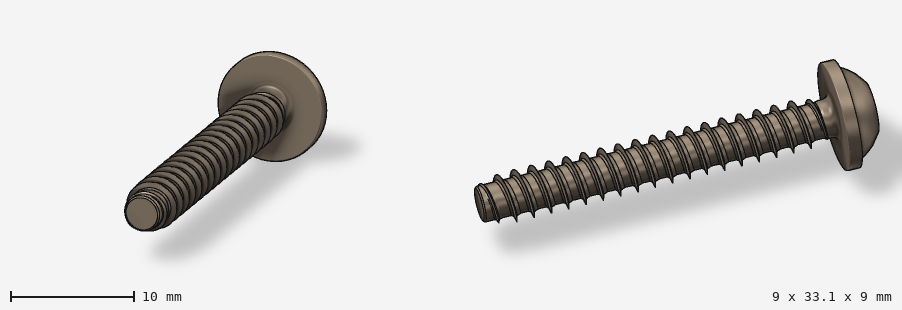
import cadquery as cq
import math


overall_length = 33.1
collar_radius = 4.5
collar_height = 1.05
collar_edge_round = 0.1
dome_height = 2.12
dome_base_radius = 3.97
dome_mid_radius = 3.35
dome_top_radius = 2.15
head_height = collar_height + dome_height

shank_length = overall_length - head_height
core_radius = 1.5
neck_radius = 1.6
neck_fillet = 0.55
neck_length = 0.95
neck_taper_length = 0.4
tip_chamfer = 0.13

full_turns = 17
full_thread_start = 2.55
full_thread_length = 24.85
pitch = full_thread_length / full_turns
crest_radius = 2.1
shoulder_radius = 1.62
shoulder_half_width = 0.13
root_reach_to_head = 0.55
root_reach_to_tip = 0.35
root_radius = core_radius - 0.03
last_full_turn = full_turns + 0.2
runout_turns = 1.6
runout_end_height = 0.03
points_per_turn = 16

rib_section = [
    (root_radius, -root_reach_to_head),
    (shoulder_radius, -shoulder_half_width),
    (crest_radius, 0),
    (shoulder_radius, shoulder_half_width),
    (root_radius, root_reach_to_tip),
]


def make_body():
    """Revolve the head, the filleted neck and the plain core as one profile."""
    profile = (
        cq.Workplane("XY")
        .moveTo(0, head_height)
        .lineTo(dome_top_radius, head_height)
        .threePointArc(
            (dome_mid_radius, collar_height + dome_height / 2),
            (dome_base_radius, collar_height),
        )
        .lineTo(collar_radius, collar_height)
        .lineTo(collar_radius, collar_edge_round)
        .radiusArc((collar_radius - collar_edge_round, 0), collar_edge_round)
        .lineTo(neck_radius + neck_fillet, 0)
        .radiusArc((neck_radius, -neck_fillet), -neck_fillet)
        .lineTo(neck_radius, -neck_length)
        .lineTo(core_radius, -neck_length - neck_taper_length)
        .lineTo(core_radius, tip_chamfer - shank_length)
        .lineTo(core_radius - tip_chamfer, -shank_length)
        .lineTo(0, -shank_length)
        .close()
    )
    return profile.revolve(360, (0, 0, 0), (0, 1, 0))


def rib_point(section_point, turn, height):
    """Place a section point on the helix, with the rib scaled to a share of its height."""
    radius, offset = section_point
    radius = root_radius + height * (radius - root_radius)
    angle = 2 * math.pi * turn
    depth = full_thread_start + pitch * turn + offset
    return cq.Vector(radius * math.cos(angle), -depth, radius * math.sin(angle))


def make_rib(start_turn, end_turn, start_height, end_height):
    """Make a solid stretch of rib whose height changes evenly along its length."""
    steps = math.ceil((end_turn - start_turn) * points_per_turn)

    def section_at(share):
        turn = start_turn + share * (end_turn - start_turn)
        height = start_height + share * (end_height - start_height)
        return [rib_point(point, turn, height) for point in rib_section]

    sections = [section_at(step / steps) for step in range(steps + 1)]
    edges = [cq.Edge.makeSpline(list(path)) for path in zip(*sections)]
    faces = [
        cq.Face.makeRuledSurface(edges[i - 1], edges[i]) for i in range(len(edges))
    ]
    for section in (sections[0], sections[-1]):
        faces.append(cq.Face.makeFromWires(cq.Wire.makePolygon(section, close=True)))
    return cq.Solid.makeSolid(cq.Shell.makeShell(faces))


def make_thread():
    """Join the full thread to the runouts and trim it where the tip chamfer begins."""
    head_runout = make_rib(-runout_turns, 0, runout_end_height, 1)
    full_thread = make_rib(0, last_full_turn, 1, 1)
    tip_runout = make_rib(
        last_full_turn, last_full_turn + runout_turns, 1, runout_end_height
    )
    thread = cq.Workplane(full_thread).union(head_runout).union(tip_runout)
    envelope_length = shank_length - tip_chamfer
    shank_envelope = cq.Workplane("XZ").circle(2 * crest_radius).extrude(envelope_length)
    return thread.intersect(shank_envelope)


result = make_body().union(make_thread())